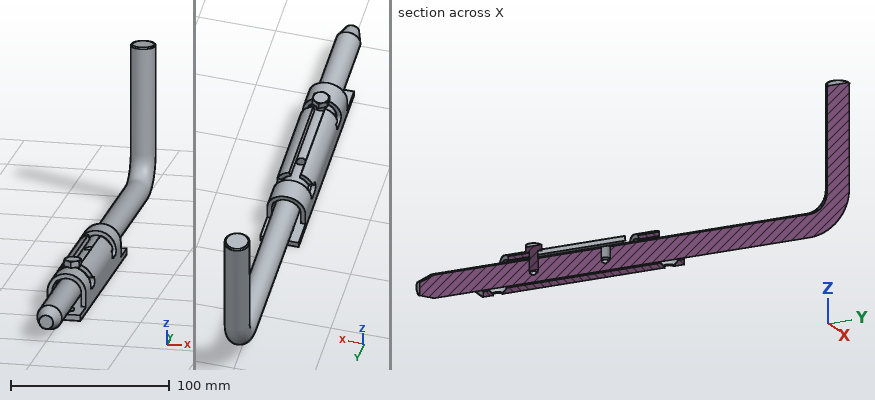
import cadquery as cq
import math

total_length = 300.0
total_height = 104.5
rod_diameter = 16.0
rod_radius = rod_diameter / 2
bend_radius = 20.0
tip_length = 10.2
tip_end_radius = 4.5
handle_chamfer = 1.0

housing_width = 25.0
arch_radius = housing_width / 2
rod_axis_z = arch_radius
wall = 3.0
plate_thickness = 4.0
plate_length = 140.5
plate_front_y = 44.5
guide_length = 105.5
guide_margin = (plate_length - guide_length) / 2
guide_front_y = plate_front_y + guide_margin
guide_rear_y = guide_front_y + guide_length
plate_center_y = plate_front_y + plate_length / 2

mount_hole_diameter = 6.5
countersink_diameter = 12.5
countersink_angle = 90.0
mount_hole_margin = 10.5

slot_half_angle = 18.0
collar_length = 15.0
slot_front_y = guide_front_y + collar_length
slot_rear_y = guide_rear_y - collar_length
cross_slot_length = 7.2
notch_length = 11.0
notch_top = 3.3
notch_bottom = -2.0
notch_fillet = 2.7
step_fillet = 2.0

screw_diameter = 6.0
screw_y = slot_front_y + screw_diameter / 2
head_across_flats = 10.0
head_across_corners = head_across_flats / math.cos(math.pi / 6)
head_bottom_z = 25.0
head_height = 4.2
head_corner_angle = 30.0

hole_spacing = 50.0
spare_hole_y = screw_y + hole_spacing
screw_hole_bottom_z = rod_axis_z
hole_core_diameter = 5.0
hole_core_depth = 1.5
drill_point_angle = 118.0


def revolve_about_z(half_profile, y):
    """Solid of revolution about the vertical line X = 0 at the given Y, from (radius, Z) points."""
    return (
        cq.Workplane("XZ", origin=(0, y, 0))
        .polyline(half_profile)
        .close()
        .revolve(360, (0, 0, 0), (0, 1, 0))
    )


def make_screw_hole(y):
    """Blind hole from the rod top, stepped to a smaller core that ends in a drill point."""
    radius = screw_diameter / 2
    core_radius = hole_core_diameter / 2
    core_bottom_z = screw_hole_bottom_z - hole_core_depth
    point_z = core_bottom_z - core_radius / math.tan(math.radians(drill_point_angle / 2))
    top_z = rod_axis_z + 2 * rod_radius
    half_profile = [
        (0, point_z),
        (core_radius, core_bottom_z),
        (core_radius, screw_hole_bottom_z),
        (radius, screw_hole_bottom_z),
        (radius, top_z),
        (0, top_z),
    ]
    return revolve_about_z(half_profile, y)


def make_bolt():
    """Rod with a tapered tip, bent upwards at its rear end, with two screw holes."""
    handle_y = total_length - rod_radius
    bend_start_y = handle_y - bend_radius
    bend_end_z = rod_axis_z + bend_radius
    bend_mid_offset = bend_radius * math.sin(math.pi / 4)
    center_line = (
        cq.Workplane("YZ")
        .moveTo(tip_length, rod_axis_z)
        .lineTo(bend_start_y, rod_axis_z)
        .threePointArc(
            (bend_start_y + bend_mid_offset, bend_end_z - bend_mid_offset),
            (handle_y, bend_end_z),
        )
        .lineTo(handle_y, total_height)
    )
    rod = (
        cq.Workplane("XZ", origin=(0, tip_length, rod_axis_z))
        .circle(rod_radius)
        .sweep(center_line)
        .faces(">Z")
        .chamfer(handle_chamfer)
    )
    tip = (
        cq.Workplane("XZ", origin=(0, tip_length, rod_axis_z))
        .circle(rod_radius)
        .workplane(offset=tip_length)
        .circle(tip_end_radius)
        .loft(ruled=True)
    )
    bolt = rod.union(tip)
    for hole_y in (screw_y, spare_hole_y):
        bolt = bolt.cut(make_screw_hole(hole_y))
    return bolt


def make_arch(radius, front_y, length):
    """Solid with a half-round top on the rod axis and straight sides down to Z = 0."""
    return (
        cq.Workplane("XZ", origin=(0, front_y, 0))
        .moveTo(-radius, 0)
        .lineTo(-radius, rod_axis_z)
        .threePointArc((0, rod_axis_z + radius), (radius, rod_axis_z))
        .lineTo(radius, 0)
        .close()
        .extrude(-length)
    )


def make_long_slot(front_y, rear_y):
    """Wedge along the guide top; its walls are radial to the rod axis."""
    half_width = housing_width * math.tan(math.radians(slot_half_angle))
    return (
        cq.Workplane("XZ", origin=(0, front_y, rod_axis_z))
        .polyline([(0, 0), (half_width, housing_width), (-half_width, housing_width)])
        .close()
        .extrude(front_y - rear_y)
    )


def make_cross_slot(outer_y, inward):
    """Rounded slot across the guide, wider at the bottom; inward is the Y sign toward the center."""
    top_z = rod_axis_z + 2 * arch_radius
    notch_top_z = rod_axis_z + notch_top
    notch_bottom_z = rod_axis_z + notch_bottom
    step_y = outer_y + inward * cross_slot_length
    notch_y = outer_y + inward * notch_length
    slot = (
        cq.Workplane("YZ", origin=(-arch_radius, 0, 0))
        .polyline(
            [
                (outer_y, notch_bottom_z),
                (notch_y, notch_bottom_z),
                (notch_y, notch_top_z),
                (step_y, notch_top_z),
                (step_y, top_z),
                (outer_y, top_z),
            ]
        )
        .close()
        .extrude(housing_width)
    )
    slot = slot.faces("<Z").edges("|X").fillet(notch_fillet)
    step_corner = cq.selectors.NearestToPointSelector((0, step_y, notch_top_z))
    return slot.edges(step_corner).fillet(step_fillet)


def make_mount_hole(y):
    """Through hole in the plate, countersunk from above."""
    hole_radius = mount_hole_diameter / 2
    sink_radius = countersink_diameter / 2
    sink_depth = (sink_radius - hole_radius) / math.tan(math.radians(countersink_angle / 2))
    half_profile = [
        (0, 0),
        (hole_radius, 0),
        (hole_radius, plate_thickness - sink_depth),
        (sink_radius, plate_thickness),
        (0, plate_thickness),
    ]
    return revolve_about_z(half_profile, y)


def make_housing():
    """Plate and arched guide in one piece, with the guide slots and mounting holes."""
    plate = (
        cq.Workplane("XY", origin=(0, plate_center_y, 0))
        .rect(housing_width, plate_length)
        .extrude(plate_thickness)
    )
    guide = make_arch(arch_radius, guide_front_y, guide_length)
    passage = make_arch(arch_radius - wall, guide_front_y, guide_length)
    housing = guide.cut(passage).union(plate)

    housing = housing.cut(make_long_slot(slot_front_y, slot_rear_y))
    for outer_y, inward in ((slot_front_y, 1), (slot_rear_y, -1)):
        housing = housing.cut(make_cross_slot(outer_y, inward))

    hole_offset = plate_length / 2 - mount_hole_margin
    for hole_y in (plate_center_y - hole_offset, plate_center_y + hole_offset):
        housing = housing.cut(make_mount_hole(hole_y))
    return housing


def make_screw():
    """Hexagon-head screw in the front screw hole, resting against the front collar, head corners along Y."""
    shank = (
        cq.Workplane("XY", origin=(0, screw_y, screw_hole_bottom_z))
        .circle(screw_diameter / 2)
        .extrude(head_bottom_z - screw_hole_bottom_z)
    )
    head = (
        cq.Workplane("XY", origin=(0, screw_y, head_bottom_z))
        .transformed(rotate=(0, 0, 90))
        .polygon(6, head_across_corners)
        .extrude(head_height)
    )
    blank_radius = head_across_corners / 2
    top_radius = head_across_flats / 2
    corner_drop = (blank_radius - top_radius) * math.tan(math.radians(head_corner_angle))
    blank_profile = [
        (0, 0),
        (blank_radius, 0),
        (blank_radius, head_height - corner_drop),
        (top_radius, head_height),
        (0, head_height),
    ]
    blank = revolve_about_z(blank_profile, screw_y).translate((0, 0, head_bottom_z))
    head = head.intersect(blank)
    return shank.union(head)


bolt = make_bolt()
housing = make_housing()
screw = make_screw()

result = cq.Compound.makeCompound([bolt.solids().val(), housing.solids().val(), screw.solids().val()])